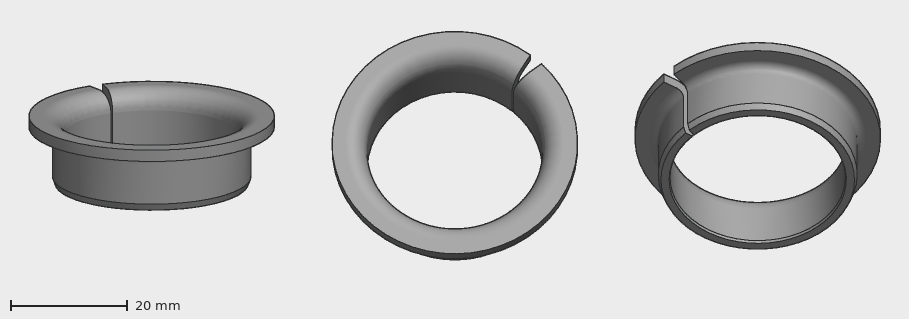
import cadquery as cq
import math

flange_diameter = 42.0
height = 12.0
flange_thickness = 2.0
sleeve_diameter = 34.0
wall = 2.0
flare_radius = 3.5
lead_in_height = 1.2
lead_in_depth = 0.45
bore_relief_height = 0.5
bore_relief_depth = 0.15
gap_angle = 20.4
gap_inner_width = 0.35

flange_radius = flange_diameter / 2
sleeve_radius = sleeve_diameter / 2
bore_radius = sleeve_radius - wall

flare_center_r = bore_radius + flare_radius
flare_center_z = height - flare_radius
under_radius = flare_radius - wall
flange_bottom = height - flange_thickness


def upper_left_arc_middle(radius):
    """Middle point (r, z) of the upper left quarter circle about the flare centre."""
    offset = radius * math.sqrt(0.5)
    return (flare_center_r - offset, flare_center_z + offset)


def make_ring():
    """Full flanged bushing, revolved about Z."""
    profile = (
        cq.Workplane("XZ")
        .moveTo(bore_radius + bore_relief_depth, 0)
        .lineTo(sleeve_radius - lead_in_depth, 0)
        .lineTo(sleeve_radius, lead_in_height)
        .lineTo(sleeve_radius, flare_center_z)
        .threePointArc(
            upper_left_arc_middle(under_radius),
            (flare_center_r, flare_center_z + under_radius),
        )
        .lineTo(flange_radius, flange_bottom)
        .lineTo(flange_radius, height)
        .lineTo(flare_center_r, height)
        .threePointArc(upper_left_arc_middle(flare_radius), (bore_radius, flare_center_z))
        .lineTo(bore_radius, bore_relief_height)
        .close()
    )
    ring = profile.revolve(360, (0, 0, 0), (0, 1, 0))
    return ring.rotate((0, 0, 0), (0, 0, 1), 180)


def make_gap():
    """Wedge on the -X side, widening outwards through the full height."""
    slope = math.tan(math.radians(gap_angle / 2))
    apex_x = -bore_radius + gap_inner_width / 2 / slope
    outer_x = -1.1 * flange_radius
    outer_half_width = (apex_x - outer_x) * slope
    return (
        cq.Workplane("XY")
        .moveTo(apex_x, 0)
        .lineTo(outer_x, outer_half_width)
        .lineTo(outer_x, -outer_half_width)
        .close()
        .extrude(height)
    )


result = make_ring().cut(make_gap())